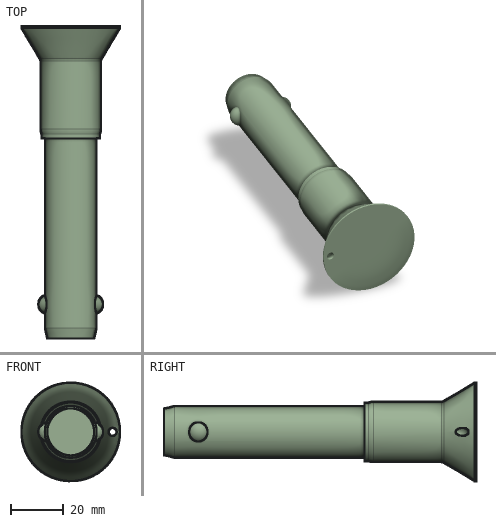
import cadquery as cq
import math


total_length = 120.1
rim_thickness = 0.7
head_height = 13.0
grip_length = 43.1
collar_length = 1.7
sleeve_round_length = 1.9
tip_length = 4.1
ball_center_y = 13.2

head_radius = 19.0
sleeve_radius = 11.6
collar_radius = 11.3
shank_radius = 10.0
tip_radius = 9.0
ball_radius = 3.7
ball_reach = 12.5

neck_tangent_length = 0.54

hole_diameter = 3.0
hole_offset = 16.1

rim_y = total_length - rim_thickness
neck_y = total_length - head_height
shoulder_y = total_length - grip_length
collar_top_y = shoulder_y + collar_length
sleeve_round_y = collar_top_y + sleeve_round_length

cone_angle = math.atan2(head_radius - sleeve_radius, rim_y - neck_y)
blend_start = (
    sleeve_radius + neck_tangent_length * math.sin(cone_angle),
    neck_y + neck_tangent_length * math.cos(cone_angle),
)
blend_end = (sleeve_radius, neck_y - neck_tangent_length)


def pin_body():
    """Head, sleeve, collar and shank, revolved about Y."""
    half_profile = (
        cq.Workplane("XY")
        .moveTo(0, total_length)
        .lineTo(head_radius, total_length)
        .lineTo(head_radius, rim_y)
        .lineTo(*blend_start)
        .tangentArcPoint(blend_end, relative=False)
        .lineTo(sleeve_radius, sleeve_round_y)
        .tangentArcPoint((collar_radius, collar_top_y), relative=False)
        .lineTo(collar_radius, shoulder_y)
        .lineTo(shank_radius, shoulder_y)
        .lineTo(shank_radius, tip_length)
        .lineTo(tip_radius, 0)
        .lineTo(0, 0)
        .close()
    )
    return half_profile.revolve(360, (0, 0, 0), (0, 1, 0))


def locking_ball(side):
    """Ball protruding from the shank on the +X (1) or -X (-1) side."""
    center_x = side * (ball_reach - ball_radius)
    return cq.Workplane("XY").sphere(ball_radius).translate((center_x, ball_center_y, 0))


def lanyard_hole():
    """Cutter parallel to the axis, passing through the head flare."""
    return (
        cq.Workplane("XZ", origin=(hole_offset, total_length, 0))
        .circle(hole_diameter / 2)
        .extrude(head_height)
    )


result = pin_body()
for side in (1, -1):
    result = result.union(locking_ball(side))
result = result.cut(lanyard_hole())